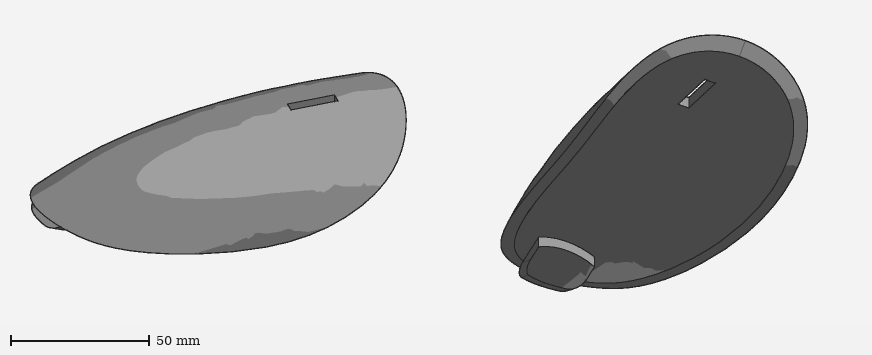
import cadquery as cq
import math

LENGTH = 138.5
FRONT_Y = -LENGTH / 2
BACK_Y = LENGTH / 2
OVERRUN = 8.3
WALL = 4.5

OUTER_FOOT = -0.4
HOLLOW_FOOT = -4.2
TONGUE_FOOT = -11.1

DOME_DEPTH = 31.5
DOME_STATIONS = [
    (FRONT_Y - OVERRUN, 25.6, 5.3),
    (-60.9, 31.5, 12.6),
    (-41.5, 35.3, 20.5),
    (-16.6, 39.3, 27.0),
    (11.1, 42.0, 31.3),
    (41.5, 42.8, 33.8),
    (BACK_Y + OVERRUN, 42.9, 34.3),
]

RIM_POINTS = [
    (FRONT_Y - OVERRUN, 12.0),
    (FRONT_Y, 8.9),
    (-55.4, 4.3),
    (-36.0, 1.2),
    (-8.3, 0.0),
    (19.4, 2.5),
    (39.5, 9.7),
    (59.5, 23.5),
    (BACK_Y, 33.9),
    (BACK_Y + OVERRUN, 42.9),
]
TRIM_WIDTH = 110.8
TRIM_TOP = 55.4

SLOT_WIDTH = 4.5
SLOT_FRONT = 28.0
SLOT_LENGTH = 17.7

TONGUE_WIDTH = 24.1
TONGUE_REAR = -49.8
TONGUE_DROP = 4.3
TONGUE_THICKNESS = 3.9
TONGUE_CORNER = 3.6


def dome(inset, foot):
    """Solid filling the dome down to the foot height, with the section shrunk by the inset."""
    sections = []
    for y, half_width, crown in DOME_STATIONS:
        base = crown - DOME_DEPTH
        depth = DOME_DEPTH - inset
        start = math.degrees(math.asin(max(0, (foot - base) / depth)))
        section = (
            cq.Workplane("XZ", origin=(0, y, base))
            .ellipseArc(half_width - inset, depth, start, 180 - start, startAtCurrent=False)
            .close()
        )
        sections.append(section.val())
    return cq.Workplane(cq.Solid.makeLoft(sections))


def space_above_rim(drop):
    """Everything above the rim line after lowering it by the drop."""
    line = [(y, z - drop) for y, z in RIM_POINTS]
    return (
        cq.Workplane("YZ")
        .moveTo(*line[0])
        .spline(line[1:], includeCurrent=True)
        .lineTo(BACK_Y + OVERRUN, TRIM_TOP)
        .lineTo(FRONT_Y - OVERRUN, TRIM_TOP)
        .close()
        .extrude(TRIM_WIDTH / 2, both=True)
    )


def slot():
    return (
        cq.Workplane("XY")
        .center(0, SLOT_FRONT + SLOT_LENGTH / 2)
        .rect(SLOT_WIDTH, SLOT_LENGTH)
        .extrude(TRIM_TOP)
    )


def tongue():
    length = TONGUE_REAR - FRONT_Y
    strip = (
        cq.Workplane("XY", origin=(0, FRONT_Y + length / 2, 0))
        .rect(TONGUE_WIDTH, length)
        .extrude(TRIM_TOP / 2, both=True)
    )
    block = space_above_rim(TONGUE_DROP).intersect(strip)
    rounded = block.faces("<Z").edges("<X or >X").fillet(TONGUE_CORNER)
    layer = dome(WALL, TONGUE_FOOT).cut(dome(WALL + TONGUE_THICKNESS, TONGUE_FOOT))
    return layer.intersect(rounded)


outer_dome = dome(0, OUTER_FOOT)
hollow = dome(WALL, HOLLOW_FOOT)
shell = outer_dome.cut(hollow).intersect(space_above_rim(0))
result = shell.cut(slot()).union(tongue())